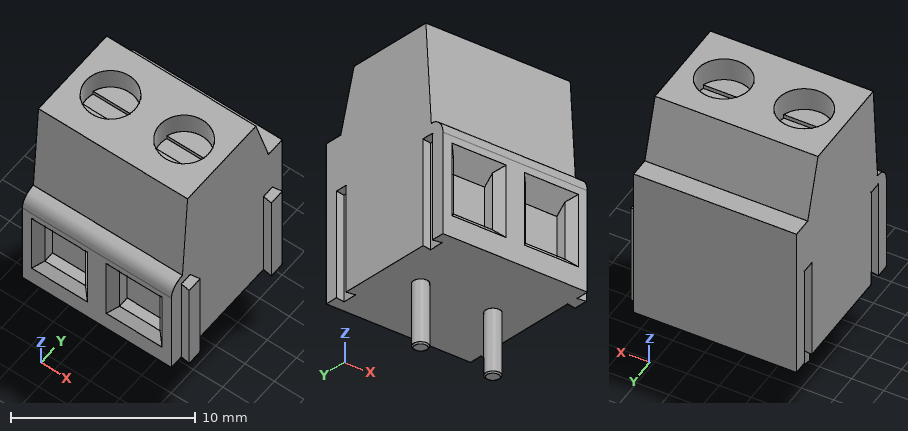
import cadquery as cq

pitch = 5.07
pole_count = 2
housing_width = pole_count * pitch
housing_depth = 10.0
housing_height = 13.8
front_y = -housing_depth / 2
back_y = housing_depth / 2

step_height = 10.0
step_depth = 1.25
top_back_inset = 2.39
top_front_inset = 1.46
nose_radius = 1.0
nose_top = 7.33

dovetail_depth = 0.6
dovetail_root = 0.8
dovetail_tip = 1.0
dovetail_height = 6.65
dovetail_edge_distance = 1.3

well_diameter = 3.3
well_spacing = 5.0
well_y = -0.45
well_depth = 1.5
slot_width = 1.03
slot_depth = 0.25

entry_width = 3.8
entry_height = 4.52
entry_bottom = 1.35
entry_inset = 0.52
entry_flare_depth = 0.52
entry_depth = 1.21
ceiling_drop = 1.03

pin_diameter = 1.0
overall_height = 17.8
pin_length = overall_height - housing_height
pin_chamfer = 0.09


def centered_positions(spacing):
    """X positions of one feature per pole, centered on the housing."""
    return [(i - (pole_count - 1) / 2) * spacing for i in range(pole_count)]


def make_housing_block():
    """Side profile in the YZ plane, extruded along X."""
    return (
        cq.Workplane("YZ", origin=(-housing_width / 2, 0, 0))
        .moveTo(front_y, 0)
        .lineTo(front_y, nose_top - nose_radius)
        .radiusArc((front_y + nose_radius, nose_top), nose_radius)
        .lineTo(front_y + top_front_inset, housing_height)
        .lineTo(back_y - top_back_inset, housing_height)
        .lineTo(back_y - step_depth, step_height)
        .lineTo(back_y, step_height)
        .lineTo(back_y, 0)
        .close()
        .extrude(housing_width)
    )


def make_dovetail(root_x, center_y):
    """Upright dovetail bar that widens from root_x toward +X."""
    tip_x = root_x + dovetail_depth
    outline = [
        (root_x, center_y - dovetail_root / 2),
        (tip_x, center_y - dovetail_tip / 2),
        (tip_x, center_y + dovetail_tip / 2),
        (root_x, center_y + dovetail_root / 2),
    ]
    return cq.Workplane("XY").polyline(outline).close().extrude(dovetail_height)


def make_screw_well(center_x):
    """Round well open at the top, with a screwdriver slot in its floor."""
    floor_z = housing_height - well_depth
    floor_plane = cq.Workplane("XY", origin=(center_x, well_y, floor_z))
    well = floor_plane.circle(well_diameter / 2).extrude(well_depth)
    slot_blank = floor_plane.circle(well_diameter / 2).extrude(-slot_depth)
    slot_band = floor_plane.rect(well_diameter, slot_width).extrude(-slot_depth)
    return well.union(slot_blank.intersect(slot_band))


def make_wire_entry(center_x):
    """Flared rectangular pocket whose ceiling slopes evenly to the back."""
    entry_top = entry_bottom + entry_height
    flare_y = front_y + entry_flare_depth
    end_y = front_y + entry_depth

    side_outline = [
        (front_y, entry_bottom),
        (flare_y, entry_bottom + entry_inset),
        (end_y, entry_bottom + entry_inset),
        (end_y, entry_top - ceiling_drop),
        (front_y, entry_top),
    ]
    side_shape = (
        cq.Workplane("YZ", origin=(center_x - entry_width / 2, 0, 0))
        .polyline(side_outline)
        .close()
        .extrude(entry_width)
    )

    half_mouth = entry_width / 2
    half_throat = half_mouth - entry_inset
    plan_outline = [
        (center_x - half_mouth, front_y),
        (center_x + half_mouth, front_y),
        (center_x + half_throat, flare_y),
        (center_x + half_throat, end_y),
        (center_x - half_throat, end_y),
        (center_x - half_throat, flare_y),
    ]
    plan_shape = cq.Workplane("XY").polyline(plan_outline).close().extrude(entry_top)
    return side_shape.intersect(plan_shape)


def make_housing():
    """Terminal block housing with dovetails, screw wells and wire entries."""
    body = make_housing_block()
    for center_y in (front_y + dovetail_edge_distance, back_y - dovetail_edge_distance):
        body = body.union(make_dovetail(housing_width / 2, center_y))
        body = body.cut(make_dovetail(-housing_width / 2, center_y))
    for center_x in centered_positions(well_spacing):
        body = body.cut(make_screw_well(center_x))
    for center_x in centered_positions(pitch):
        body = body.cut(make_wire_entry(center_x))
    return body


def make_pin(center_x):
    """Round solder pin hanging from the housing's underside."""
    return (
        cq.Workplane("XY", origin=(center_x, 0, 0))
        .circle(pin_diameter / 2)
        .extrude(-pin_length)
        .faces("<Z")
        .chamfer(pin_chamfer)
    )


housing = make_housing()
pins = [make_pin(center_x) for center_x in centered_positions(pitch)]

result = cq.Compound.makeCompound([housing.val(), *[pin.val() for pin in pins]])